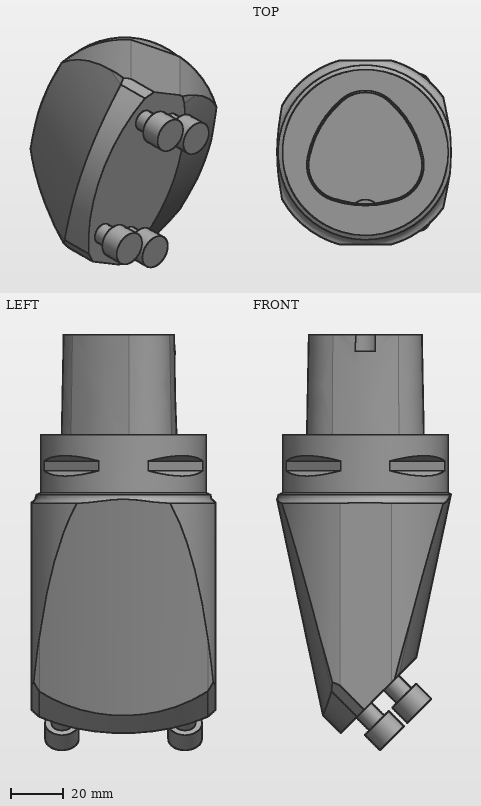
import cadquery as cq
import math


shank_height = 38.0
lobe_reach = 23.5
flank_reach = 20.2
lobe_radius = 14.2
shank_taper = 1.1
notch_width = 7.7
notch_depth = 1.6
notch_height = 6.3

flange_radius = 63.0 / 2
flange_bottom = -22.1
groove_z = -11.8
groove_floor = 3.6
groove_mouth = 7.7
groove_depth = 3.6

neck_radius = 33.2
neck_bottom = -22.9
body_radius = 36.3
neck_fillet = body_radius - neck_radius
body_shoulder = neck_bottom - neck_fillet
body_width = 70.0
body_bottom = -126.4

corner_y = 32.0
side_crown_radius = 102.7
side_corner_slope = 0.5
side_taper = 12.0
side_start_z = -25.1
left_start_x = -33.5
right_start_x = 32.0
nose_crown_radius = 62.5
nose_corner_slope = 1.3
nose_offset = -13.3
reach = 94.8

seat_z = -104.1
seat_normal = (1, 0, -1)
screw_y = 23.4
screw_offsets = (-0.8, 13.9)
screw_shank_diameter = 8.0
screw_head_diameter = 13.0
screw_shank_length = 7.0
screw_head_length = 8.2
screw_embed = 3.2


def polar(radius, degrees):
    angle = math.radians(degrees)
    return (radius * math.cos(angle), radius * math.sin(angle))


def make_shank():
    lobe_center = lobe_reach - lobe_radius
    gap = flank_reach - lobe_radius
    flank_center = (lobe_center**2 - gap**2) / (2 * gap - lobe_center)
    flank_radius = flank_center + flank_reach
    join_angle = math.atan2(
        lobe_center * math.sin(math.radians(60)),
        flank_center + lobe_center * math.cos(math.radians(60)),
    )
    join_x = flank_radius * math.cos(join_angle) - flank_center
    join_y = flank_radius * math.sin(join_angle)
    join_reach = math.hypot(join_x, join_y)
    join_degrees = math.degrees(math.atan2(join_y, join_x))

    outline = cq.Workplane("XY").moveTo(*polar(join_reach, -90 - join_degrees))
    for flank in (-90, 30, 150):
        outline = outline.threePointArc(
            polar(flank_reach, flank), polar(join_reach, flank + join_degrees)
        )
        outline = outline.threePointArc(
            polar(lobe_reach, flank + 60), polar(join_reach, flank + 120 - join_degrees)
        )
    shank = outline.close().extrude(shank_height, taper=shank_taper)

    notch_radius = ((notch_width / 2) ** 2 + notch_depth**2) / (2 * notch_depth)
    top_flank_reach = flank_reach - shank_height * math.tan(math.radians(shank_taper))
    notch = (
        cq.Workplane("XY", origin=(0, 0, shank_height - notch_height))
        .center(0, -top_flank_reach + notch_depth - notch_radius)
        .circle(notch_radius)
        .extrude(notch_height)
    )
    return shank.cut(notch)


def make_flange():
    flange = cq.Workplane("XY").circle(flange_radius).extrude(flange_bottom)
    floor = flange_radius - groove_depth
    groove = (
        cq.Workplane("XZ", origin=(0, 0, groove_z))
        .polyline([
            (floor, groove_floor / 2),
            (flange_radius, groove_mouth / 2),
            (flange_radius, -groove_mouth / 2),
            (floor, -groove_floor / 2),
        ])
        .close()
        .extrude(flange_radius, both=True)
    )
    for angle in (45, 135, 225, 315):
        flange = flange.cut(groove.rotate((0, 0, 0), (0, 0, 1), angle))
    return flange


def crowned_outline(plane, crown_radius, corner_slope):
    """Outline on local +Y of the plane, its outer edge crowned across local X."""
    corner_drop = crown_radius - math.sqrt(crown_radius**2 - corner_y**2)
    outer_y = body_radius
    outer_drop = corner_drop + (outer_y - corner_y) * corner_slope
    return (
        cq.Workplane(plane)
        .moveTo(-outer_y, outer_drop)
        .lineTo(-corner_y, corner_drop)
        .threePointArc((0, 0), (corner_y, corner_drop))
        .lineTo(outer_y, outer_drop)
        .lineTo(outer_y, reach)
        .lineTo(-outer_y, reach)
        .close()
    )


def seat_plane(offset):
    """Plane of the slanted seat, its origin moved up along the seat."""
    shift = offset / math.sqrt(2)
    return cq.Plane((shift, 0, seat_z + shift), (0, 1, 0), seat_normal)


def make_body():
    blank = (
        cq.Workplane("XZ")
        .moveTo(0, flange_bottom)
        .lineTo(flange_radius, flange_bottom)
        .lineTo(neck_radius, neck_bottom)
        .threePointArc(
            (body_radius - neck_fillet * math.sqrt(0.5), neck_bottom - neck_fillet * math.sqrt(0.5)),
            (body_radius, body_shoulder),
        )
        .lineTo(body_radius, body_bottom)
        .lineTo(0, body_bottom)
        .close()
        .revolve(360, (0, 0, 0), (0, 1, 0))
    )
    flats = cq.Workplane("XY").box(2 * reach, body_width, 4 * reach)
    body = blank.intersect(flats)

    lean = math.sin(math.radians(side_taper))
    drop = math.cos(math.radians(side_taper))
    left = cq.Plane((left_start_x, 0, side_start_z), (0, 1, 0), (lean, 0, -drop))
    right = cq.Plane((right_start_x, 0, side_start_z), (0, -1, 0), (-lean, 0, -drop))
    for plane in (left, right):
        side = crowned_outline(plane, side_crown_radius, side_corner_slope)
        body = body.intersect(side.extrude(2 * reach, both=True))

    nose = crowned_outline(seat_plane(nose_offset), nose_crown_radius, nose_corner_slope)
    return body.intersect(nose.extrude(-2 * reach))


def make_screws():
    screws = []
    for offset in screw_offsets:
        shanks = (
            cq.Workplane(seat_plane(offset))
            .workplane(offset=-screw_embed)
            .pushPoints([(-screw_y, 0), (screw_y, 0)])
            .circle(screw_shank_diameter / 2)
            .extrude(screw_embed + screw_shank_length)
        )
        heads = (
            cq.Workplane(seat_plane(offset))
            .workplane(offset=screw_shank_length)
            .pushPoints([(-screw_y, 0), (screw_y, 0)])
            .circle(screw_head_diameter / 2)
            .extrude(screw_head_length)
        )
        screws.append(shanks.union(heads))
    return screws


result = make_shank().union(make_flange()).union(make_body())
for screw_pair in make_screws():
    result = result.union(screw_pair)